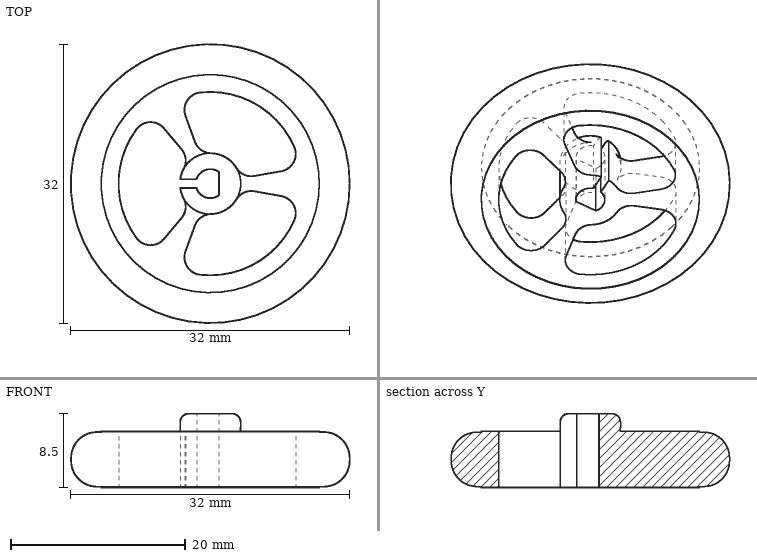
import cadquery as cq
import math

disc_height = 6.5
disc_radius = 12.5
tyre_radius = 16.0
tyre_fillet = 3.0
tyre_setback = 0.1
tyre_height = disc_height - 2 * tyre_setback

hub_radius = 3.5
hub_height = 8.5
hub_fillet = 1.0

bore_radius = 1.65
bore_flat_x = 1.0
slot_width = 1.0

window_count = 3
window_outer_radius = 10.5
spoke_half_angle = 10.0
window_corner_radius = 2.0
first_window_angle = 180.0


def polar_point(radius, degrees):
    angle = math.radians(degrees)
    return (radius * math.cos(angle), radius * math.sin(angle))


def make_wheel():
    disc = cq.Workplane("XY").circle(disc_radius).extrude(disc_height)
    tyre = (
        cq.Workplane("XY", origin=(0, 0, tyre_setback))
        .circle(tyre_radius)
        .extrude(tyre_height)
        .edges()
        .fillet(tyre_fillet)
    )
    return disc.union(tyre)


def make_window(centre_angle):
    """Ring sector with rounded corners, cut through the full disc height."""
    half_span = 180.0 / window_count - spoke_half_angle
    start = centre_angle - half_span
    end = centre_angle + half_span
    return (
        cq.Workplane("XY")
        .moveTo(*polar_point(hub_radius, start))
        .lineTo(*polar_point(window_outer_radius, start))
        .threePointArc(
            polar_point(window_outer_radius, centre_angle),
            polar_point(window_outer_radius, end),
        )
        .lineTo(*polar_point(hub_radius, end))
        .threePointArc(
            polar_point(hub_radius, centre_angle),
            polar_point(hub_radius, start),
        )
        .close()
        .extrude(disc_height)
        .edges("|Z")
        .fillet(window_corner_radius)
    )


def make_hub():
    """Round hub, turned so that the seam of its round faces lies in the slot."""
    hub = cq.Workplane("XY").circle(hub_radius).extrude(hub_height)
    rounded_hub = hub.faces(">Z").edges().fillet(hub_fillet)
    return rounded_hub.rotate((0, 0, 0), (0, 0, 1), first_window_angle)


def make_bore():
    """Round bore, flattened on its +X side."""
    bore = cq.Workplane("XY").circle(bore_radius).extrude(hub_height)
    flat_side = (
        cq.Workplane("XY")
        .rect(2 * bore_radius, 2 * bore_radius)
        .extrude(hub_height)
        .translate((bore_flat_x + bore_radius, 0, 0))
    )
    return bore.cut(flat_side)


def make_slot():
    """Slot from the bore axis out through the -X side of the hub."""
    return (
        cq.Workplane("XY")
        .center(-hub_radius / 2, 0)
        .rect(hub_radius, slot_width)
        .extrude(hub_height)
    )


wheel = make_wheel()
for index in range(window_count):
    wheel = wheel.cut(make_window(first_window_angle + index * 360.0 / window_count))

result = wheel.union(make_hub()).cut(make_bore()).cut(make_slot())